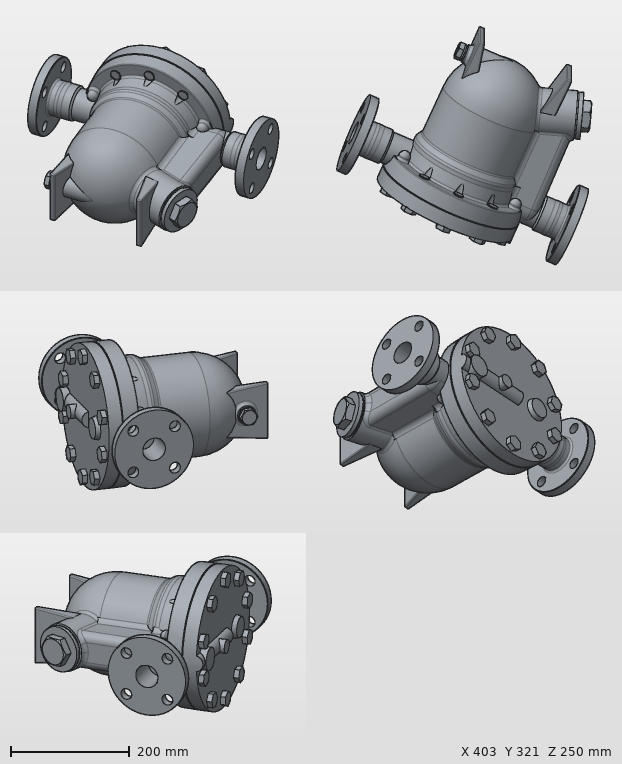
import cadquery as cq
import math


embed = 1.0

vessel_radius = 88.5
dome_center_y = -135.0
neck_root_radius = 99.0
neck_tip_radius = 96.0
neck_tip_y = -25.0
shoulder_start_y = -35.0
shoulder_end_y = -48.0
shoulder_start_blend = 10.0
shoulder_end_blend = 7.0
neck_root_fillet = 4.0

flange_radius = 125.0
flange_short_radius = 121.5
flange_edge_fillet = 1.5
flange_face_y = 1.0
joint_y = 30.5
gasket_thickness = 1.5
gasket_inset = 1.0
cover_face_y = 57.0

bolt_count = 10
bolt_circle_radius = 107.5
bolt_diameter = 18.0
bolt_end_y = -1.0
bolt_head_flats = 24.0
bolt_head_height = 9.5
spotface_diameter = 21.0
spotface_depth = 30.0
boss_dome_radius = 10.5
boss_dome_center_y = -5.0
boss_flare = 4.5
bosses = (2, 3, 7, 8)

rib_start_x = -17.0
rib_radius = 14.5
rib_crest_y = 69.0
vent_x = 32.0
vent_diameter = 24.0
vent_top_y = 76.4
disc_x = 95.0
disc_diameter = 40.0
disc_top_y = 71.0
pad_x = -60.5
pad_root_radius = 20.5
pad_top_radius = 18.0
pad_height = 8.5

pipe_mid_x = 7.5
face_to_face = 403.0
pipe_flange_diameter = 140.0
pipe_flange_thickness = 16.5
pipe_flange_chamfer = 1.0
pipe_bolt_circle = 105.0
pipe_bolt_hole = 19.0
pipe_bolt_count = 4
pipe_bolt_start_angle = 45
pipe_bore = 40.0
pipe_bore_depth = 59.0
hub_diameter = 62.0
hub_length = 42.0
hub_taper_length = 3.5
hub_root_fillet = 3.5
hub_bead_height = 0.6
hub_bead_start = 13.0
hub_bead_crest = 19.0
hub_bead_end = 27.0
pipe_diameter = 56.0

channel_half_width = 33.0
channel_round_y = -8.0
round_clearance = 0.01
channel_top_y = channel_round_y + channel_half_width
channel_outer_x = 147.0
channel_low_x = 142.0
channel_low_y = -165.0
channel_edge_radius = 15.0
channel_root_fillet = 12.5
channel_valve_fillet = 10.0
blend_run_out = 60.0

valve_tilt = 19.0
valve_face_x = 145.6
valve_face_y = -184.0
valve_neck_diameter = 84.0
valve_neck_length = 122.0
valve_root_fillet = 8.0
dome_joint_start_x = 55.0
dome_joint_low_y = -205.0
flank_joint_start_x = 35.0
joint_reach_above = 20.0
cap_diameter = 80.0
cap_thickness = 8.0
cap_gap = 2.5
cap_gap_diameter = 76.0
plug_flats = 48.0
plug_height = 15.0
plug_chamfer_diameter = 46.0

foot_bottom_y = -244.6
foot_top_y = -170.0
foot_bottom_half_width = 50.3
foot_top_half_width = 40.5
foot_tip_thickness = 9.5
foot_flare = 0.24
foot_edge_fillet = 2.0
left_foot_x = -70.5
right_foot_x = 100.5

drain_y = -203.5
drain_boss_radius = abs(dome_center_y - vessel_radius - drain_y)
drain_collar_radius = 16.0
drain_collar_x = -79.0
drain_gasket_radius = 13.5
drain_gasket_x = -81.5
drain_collar_flare = 6.0
drain_washer_radius = 14.5
drain_washer_x = -84.5
drain_head_flats = 27.0
drain_head_x = -94.0
drain_chamfer_diameter = 25.5


def rod(radius, start, end):
    """Cylinder between two points."""
    axis = cq.Vector(*end) - cq.Vector(*start)
    return cq.Workplane(cq.Solid.makeCylinder(radius, axis.Length, cq.Vector(*start), axis))


def disc(radius, y_low, y_high, x=0.0, z=0.0):
    """Cylinder parallel to the vessel axis."""
    return rod(radius, (x, y_low, z), (x, y_high, z))


def bolt_position(index):
    angle = 2 * math.pi * index / bolt_count
    return bolt_circle_radius * math.sin(angle), bolt_circle_radius * math.cos(angle)


def hexagon(flats, height, chamfer_diameter):
    """Hexagon along +Z with a corner towards +X and its top corners turned down."""
    corner_diameter = flats / math.cos(math.pi / 6)
    turned = cq.Workplane("XY").circle(corner_diameter / 2).extrude(height)
    drop = (corner_diameter - chamfer_diameter) / 2
    turned = turned.faces(">Z").chamfer(drop * math.tan(math.pi / 6), drop)
    return cq.Workplane("XY").polygon(6, corner_diameter).extrude(height).intersect(turned)


def ring_edges(y):
    """Selects edges that lie around the vessel at the given height."""
    reach = 2 * flange_radius
    band = 1.0
    return cq.selectors.BoxSelector((-reach, y - band, -reach), (reach, y + band, reach))


def edges_within(x_low, x_high, y_low, y_high):
    """Selects edges that lie wholly within the given X and Y limits."""
    half_depth = valve_neck_diameter
    return cq.selectors.BoxSelector(
        (x_low, y_low, -half_depth), (x_high, y_high, half_depth), boundingbox=True)


def make_vessel():
    vessel = (
        cq.Workplane("XY")
        .moveTo(0, flange_face_y)
        .lineTo(neck_root_radius + neck_root_fillet, flange_face_y)
        .radiusArc((neck_root_radius, flange_face_y - neck_root_fillet), -neck_root_fillet)
        .lineTo(neck_tip_radius, neck_tip_y)
        .lineTo(neck_tip_radius, shoulder_start_y)
        .lineTo(vessel_radius, shoulder_end_y)
        .lineTo(vessel_radius, dome_center_y)
        .radiusArc((0, dome_center_y - vessel_radius), vessel_radius)
        .close()
        .revolve(360, (0, 0, 0), (0, 1, 0))
    )
    vessel = vessel.edges(ring_edges(shoulder_start_y)).fillet(shoulder_start_blend)
    return vessel.edges(ring_edges(shoulder_end_y)).fillet(shoulder_end_blend)


def make_vessel_flange():
    """Round at the joint, narrowing in X towards its free face."""
    joint_plane = cq.Plane(origin=(0, joint_y, 0), xDir=(0, 0, -1), normal=(0, -1, 0))
    flange = (
        cq.Workplane(joint_plane)
        .circle(flange_radius)
        .workplane(offset=joint_y - flange_face_y)
        .ellipse(flange_radius, flange_short_radius)
        .loft(ruled=True)
    )
    return flange.faces("<Y").edges().fillet(flange_edge_fillet)


def make_cover():
    gasket_top = joint_y + gasket_thickness
    gasket = disc(flange_radius - gasket_inset, joint_y, gasket_top)
    plate = disc(flange_radius, gasket_top, cover_face_y)
    rib_axis_y = rib_crest_y - rib_radius
    rib = rod(rib_radius, (rib_start_x, rib_axis_y, 0), (flange_radius, rib_axis_y, 0))
    rib = rib.intersect(disc(flange_radius, joint_y, rib_crest_y))
    label = disc(disc_diameter / 2, cover_face_y, disc_top_y, disc_x)
    vent = disc(vent_diameter / 2, cover_face_y, vent_top_y, vent_x)
    pad = cq.Workplane(cq.Solid.makeCone(
        pad_root_radius, pad_top_radius, pad_height,
        cq.Vector(pad_x, cover_face_y, 0), cq.Vector(0, 1, 0)))
    return gasket.union(plate).union(rib.union(label)).union(vent).union(pad)


def make_bolt_head(index):
    """Hexagon head with a corner pointing away from the vessel axis."""
    corner_diameter = bolt_head_flats / math.cos(math.pi / 6)
    return (
        cq.Workplane("XZ", origin=(0, cover_face_y + bolt_head_height, 0))
        .center(bolt_circle_radius, 0)
        .polygon(6, corner_diameter)
        .extrude(bolt_head_height + embed)
        .rotate((0, 0, 0), (0, 1, 0), 360 * index / bolt_count - 90)
    )


def make_pipe_end(side):
    """Flanged pipe on the -X side (side = -1) or the +X side (side = 1)."""
    hub_radius = hub_diameter / 2
    root = face_to_face / 2 - pipe_flange_thickness
    hub_end = root - hub_length
    flange_radius_outer = pipe_flange_diameter / 2
    end = (
        cq.Workplane("XY")
        .moveTo(0, 0)
        .lineTo(0, pipe_diameter / 2)
        .lineTo(hub_end - hub_taper_length, pipe_diameter / 2)
        .lineTo(hub_end, hub_radius)
        .lineTo(root - hub_bead_end, hub_radius)
        .lineTo(root - hub_bead_crest, hub_radius + hub_bead_height)
        .lineTo(root - hub_bead_start, hub_radius)
        .lineTo(root - hub_root_fillet, hub_radius)
        .radiusArc((root, hub_radius + hub_root_fillet), -hub_root_fillet)
        .lineTo(root, flange_radius_outer - pipe_flange_chamfer)
        .lineTo(root + pipe_flange_chamfer, flange_radius_outer)
        .lineTo(face_to_face / 2, flange_radius_outer)
        .lineTo(face_to_face / 2, 0)
        .close()
        .revolve(360, (0, 0, 0), (1, 0, 0))
    )
    holes = (
        cq.Workplane("YZ", origin=(root, 0, 0))
        .polarArray(pipe_bolt_circle / 2, pipe_bolt_start_angle, 360, pipe_bolt_count)
        .circle(pipe_bolt_hole / 2)
        .extrude(pipe_flange_thickness)
    )
    end = end.cut(holes)
    if side < 0:
        end = end.mirror("YZ")
    return end.translate((pipe_mid_x, 0, 0))


def make_pipe_bore(side):
    mouth_x = pipe_mid_x + side * face_to_face / 2
    return rod(pipe_bore / 2, (mouth_x, 0, 0), (mouth_x - side * pipe_bore_depth, 0, 0))


def valve_point(distance):
    """Point on the valve axis, measured outwards from the outer face of the cap."""
    tilt = math.radians(valve_tilt)
    return valve_face_x + distance * math.cos(tilt), valve_face_y - distance * math.sin(tilt), 0


def make_channel():
    slab = (
        cq.Workplane("XY", origin=(0, 0, -channel_half_width))
        .polyline([
            (0, channel_top_y),
            (channel_outer_x, channel_top_y),
            (channel_low_x, channel_low_y),
            valve_point(-valve_neck_length)[:2],
        ])
        .close()
        .extrude(2 * channel_half_width)
    )
    slab = slab.edges("|X and >Y").fillet(channel_half_width - round_clearance)
    return slab.edges(cq.selectors.NearestToPointSelector(
        (channel_outer_x, channel_low_y / 2, channel_half_width))).fillet(channel_edge_radius)


def make_valve_neck(extra_length=0.0):
    neck_end = -cap_thickness - cap_gap + extra_length
    return rod(valve_neck_diameter / 2, valve_point(-valve_neck_length), valve_point(neck_end))


def make_valve_cap():
    gap = rod(cap_gap_diameter / 2, valve_point(-cap_thickness - cap_gap), valve_point(-cap_thickness))
    cap = rod(cap_diameter / 2, valve_point(-cap_thickness), valve_point(0))
    plug = (
        hexagon(plug_flats, plug_height, plug_chamfer_diameter)
        .rotate((0, 0, 0), (0, 1, 0), 90)
        .rotate((0, 0, 0), (1, 0, 0), 90)
        .rotate((0, 0, 0), (0, 0, 1), -valve_tilt)
        .translate(valve_point(0))
    )
    return gap.union(cap).union(plug)


def make_foot(outer_x, inward):
    """Wedge with an upright outer face; inward is the X direction of its sloping face."""
    height = foot_top_y - foot_bottom_y
    top_thickness = foot_tip_thickness + foot_flare * height
    wedge = (
        cq.Workplane("XY", origin=(0, 0, -foot_bottom_half_width))
        .polyline([
            (outer_x, foot_bottom_y),
            (outer_x + inward * foot_tip_thickness, foot_bottom_y),
            (outer_x + inward * top_thickness, foot_top_y),
            (outer_x, foot_top_y),
        ])
        .close()
        .extrude(2 * foot_bottom_half_width)
    )
    outline = (
        cq.Workplane("YZ", origin=(outer_x, 0, 0))
        .polyline([
            (foot_bottom_y, -foot_bottom_half_width),
            (foot_bottom_y, foot_bottom_half_width),
            (foot_top_y, foot_top_half_width),
            (foot_top_y, -foot_top_half_width),
        ])
        .close()
        .extrude(top_thickness, both=True)
    )
    foot = wedge.intersect(outline)
    return foot.edges().fillet(foot_edge_fillet)


def make_drain():
    boss = rod(drain_boss_radius, (left_foot_x, drain_y, 0), (0, drain_y, 0))
    collar_root = left_foot_x - drain_collar_flare
    fittings = (
        cq.Workplane("XY")
        .moveTo(left_foot_x, 0)
        .lineTo(left_foot_x, drain_collar_radius + drain_collar_flare)
        .radiusArc((collar_root, drain_collar_radius), drain_collar_flare)
        .lineTo(drain_collar_x, drain_collar_radius)
        .lineTo(drain_collar_x, drain_gasket_radius)
        .lineTo(drain_gasket_x, drain_gasket_radius)
        .lineTo(drain_gasket_x, drain_washer_radius)
        .lineTo(drain_washer_x, drain_washer_radius)
        .lineTo(drain_washer_x, 0)
        .close()
        .revolve(360, (0, 0, 0), (1, 0, 0))
        .translate((0, drain_y, 0))
    )
    head = (
        hexagon(drain_head_flats, drain_washer_x - drain_head_x, drain_chamfer_diameter)
        .rotate((0, 0, 0), (0, 1, 0), -90)
        .rotate((0, 0, 0), (1, 0, 0), 90)
        .translate((drain_washer_x, drain_y, 0))
    )
    return boss.union(fittings).union(head)


def make_channel_blend(wall_radius, y_low, y_high):
    """Hollow corners that run along Y, tangent to the vessel wall and to both channel flanks."""
    center_z = channel_half_width + channel_root_fillet
    center_x = math.sqrt((wall_radius + channel_root_fillet) ** 2 - center_z ** 2)
    share = wall_radius / (wall_radius + channel_root_fillet)
    wall_x = share * center_x
    wall_z = share * center_z
    return (
        cq.Workplane("XZ", origin=(0, y_high, 0))
        .moveTo(0, wall_z)
        .lineTo(wall_x, wall_z)
        .radiusArc((center_x, channel_half_width), -channel_root_fillet)
        .lineTo(center_x, -channel_half_width)
        .radiusArc((wall_x, -wall_z), -channel_root_fillet)
        .lineTo(0, -wall_z)
        .close()
        .extrude(y_high - y_low)
    )


def make_casting():
    """Vessel, outlet channel and valve neck, blended into each other."""
    vessel = make_vessel().union(make_valve_neck())
    joint_top_y = dome_center_y + joint_reach_above
    dome_joint = edges_within(dome_joint_start_x, neck_tip_radius, dome_joint_low_y, joint_top_y)
    vessel = vessel.edges(dome_joint).fillet(valve_root_fillet)
    channel = make_channel().union(make_valve_neck(blend_run_out))
    flank_joint = edges_within(flank_joint_start_x, channel_outer_x, channel_low_y, joint_top_y)
    channel = channel.edges(flank_joint).fillet(channel_valve_fillet)
    neck_end = -cap_thickness - cap_gap
    channel = channel.cut(rod(valve_neck_diameter, valve_point(neck_end), valve_point(2 * blend_run_out)))
    lower_blend = make_channel_blend(vessel_radius, valve_point(-valve_neck_length)[1], neck_tip_y)
    upper_blend = make_channel_blend(neck_tip_radius, shoulder_start_y, channel_round_y)
    return vessel.union(channel).union(lower_blend).union(upper_blend)


def make_boss(x, z):
    """Domed boss with a flared root on the free face of the vessel flange."""
    return (
        cq.Workplane("XY")
        .moveTo(0, joint_y - embed)
        .lineTo(boss_dome_radius, joint_y - embed)
        .lineTo(boss_dome_radius, flange_face_y)
        .lineTo(boss_dome_radius + boss_flare, flange_face_y)
        .radiusArc((boss_dome_radius, flange_face_y - boss_flare), -boss_flare)
        .lineTo(boss_dome_radius, boss_dome_center_y)
        .radiusArc((0, boss_dome_center_y - boss_dome_radius), boss_dome_radius)
        .close()
        .revolve(360, (0, 0, 0), (0, 1, 0))
        .translate((x, 0, z))
    )


def add_bolting(part):
    """Add bolt heads, and either spot-faced bolt ends or domed bosses on the free face."""
    for index in range(bolt_count):
        x, z = bolt_position(index)
        part = part.union(make_bolt_head(index))
        if index in bosses:
            part = part.union(make_boss(x, z))
        else:
            part = part.cut(disc(spotface_diameter / 2, -spotface_depth, flange_face_y, x, z))
            part = part.union(disc(bolt_diameter / 2, bolt_end_y, joint_y - embed, x, z))
    return part


result = make_casting()
result = result.union(make_vessel_flange())
result = result.union(make_cover()).union(make_pipe_end(-1)).union(make_pipe_end(1))
result = add_bolting(result)
result = result.union(make_foot(left_foot_x, 1)).union(make_foot(right_foot_x, -1))
result = result.union(make_drain()).union(make_valve_cap())
result = result.cut(make_pipe_bore(-1)).cut(make_pipe_bore(1))